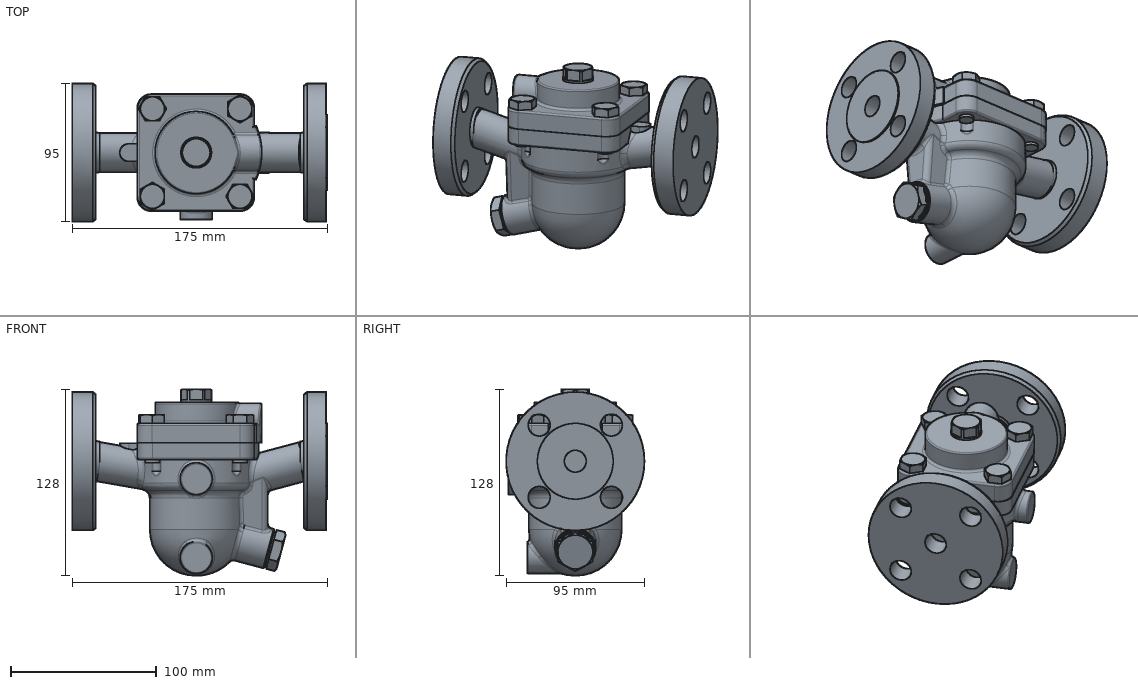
import cadquery as cq
import math


MARGIN = 1.0

FLANGE_DIA = 95.0
FLANGE_THICK = 16.3
FLANGE_CHAMFER_RADIAL = 1.8
FLANGE_CHAMFER_AXIAL = 2.3
BOLT_CIRCLE_DIA = 70.0
FLANGE_HOLE_DIA = 15.0
FLANGE_HOLE_COUNT = 4
BORE_DIA = 15.0
INLET_FACE_X = -85.0
OUTLET_FACE_X = 90.0
RAISED_FACE_DIA = 52.0
RAISED_FACE_HEIGHT = 1.0

PIPE_DIA = 27.0
PIPE_ROOT_DIA = 28.0
PIPE_ROOT_LENGTH = 2.5
INLET_SLOPE = 10.0
OUTLET_SLOPE = 15.0
INLET_BLEND = 5.0
OUTLET_BLEND = 4.0
PIPE_JOINT_DEPTH = 6.0

CHAMBER_R = 32.0
CHAMBER_BOTTOM_Z = -78.6
NECK_R = 39.0
SHOULDER_TOP_Z = -14.8
SHOULDER_BOTTOM_Z = -25.0

LOWER_PLATE_Z = 1.0
SPLIT_Z = 12.8
COVER_TOP_Z = 26.0
LOWER_PLATE_SIDE = 80.0
COVER_PLATE_SIDE = 80.4
PLATE_CENTRE_X = -0.3
PLATE_CORNER_R = 10.0
PLATE_EDGE_R = 1.3
LOWER_BULGE_R = 43.0
COVER_BULGE_R = 45.0
BULGE_HALF_WIDTH = 18.5
TURRET_DIA = 56.5
TURRET_TOP_Z = 40.5
TURRET_EDGE_R = 1.0
COVER_FILLET = 1.8
BARREL_R = 12.3
BARREL_TOP_Z = 39.8

BOLT_PITCH = 60.0
BOLT_FLATS = 16.5
BOLT_HEAD_HEIGHT = 6.0
BOLT_DIA = 10.0
BOLT_END_Z = -1.0
BOLT_HOLE_DIA = 10.8
BOLT_HOLE_SHOULDER_Z = -6.9
BOLT_HOLE_TIP_Z = -14.7
BOLT_HOLE_EDGE_R = 0.8
HEAD_CHAMFER_ANGLE = 30.0
HEX_HALF_STEP = 30.0

PLUG_FLATS = 19.0
PLUG_DIA = 21.0
PLUG_TOP_Z = 49.4
PLUG_HEX_Z = 42.0

BOSS_DIA = 22.0
BOSS_EDGE_R = 0.8
BOSS_BLEND = 2.4
UPPER_BOSS_Y = -46.0
UPPER_BOSS_Z = -12.0
LOWER_BOSS_Y = -33.0
LOWER_BOSS_Z = -66.0

NOZZLE_DIA = 28.0
NOZZLE_SLOPE = 15.0
NOZZLE_LENGTH = 52.0
NOZZLE_EDGE = 0.8
NOZZLE_BLEND = 4.0
DRAIN_PLUG_FLATS = 24.0
DRAIN_PLUG_HEIGHT = 7.0
DRAIN_PLUG_NECK = 1.3

RIB_TOP_Z = -10.0
RIB_BOTTOM_Z = -54.6
RIB_TOP_HALF_WIDTH = 13.2
RIB_BOTTOM_HALF_WIDTH = 9.0
RIB_INNER_X = 25.0
RIB_END_X = 49.2
RIB_CORNER_R = 4.1
RIB_BLEND = 3.0

LUG_R = 6.0
LUG_END_X = -52.4
LUG_TOP_Z = 12.5
LUG_BOTTOM_Z = -5.0

DOME_CENTRE_Z = CHAMBER_BOTTOM_Z + CHAMBER_R
INLET_BACK_X = INLET_FACE_X + FLANGE_THICK
OUTLET_BACK_X = OUTLET_FACE_X - FLANGE_THICK
OUTLET_RIM_X = OUTLET_FACE_X - RAISED_FACE_HEIGHT


def edges_within(body, low, high):
    """Edges of body that lie wholly inside the box between two opposite corners."""
    return body.edges(cq.selectors.BoxSelector(low, high, boundingbox=True))


def flange(face_x, inward, thick):
    """Flange whose rim starts at face_x and whose chamfered back faces `inward` along X."""
    radius = FLANGE_DIA / 2
    disc = (
        cq.Workplane("XY")
        .lineTo(0, radius)
        .lineTo(thick - FLANGE_CHAMFER_AXIAL, radius)
        .lineTo(thick, radius - FLANGE_CHAMFER_RADIAL)
        .lineTo(thick, 0)
        .close()
        .revolve(360, (0, 0, 0), (1, 0, 0))
    )
    half_step = 180 / FLANGE_HOLE_COUNT
    holes = (
        cq.Workplane("YZ")
        .polarArray(BOLT_CIRCLE_DIA / 2, half_step, 360, FLANGE_HOLE_COUNT)
        .circle(FLANGE_HOLE_DIA / 2)
        .extrude(thick)
    )
    disc = disc.cut(holes)
    if inward < 0:
        disc = disc.mirror("YZ")
    return disc.translate((face_x, 0, 0))


def raised_face():
    return (
        cq.Workplane("YZ", origin=(OUTLET_RIM_X, 0, 0))
        .circle(RAISED_FACE_DIA / 2)
        .extrude(RAISED_FACE_HEIGHT)
    )


def bore(face_x, depth):
    return cq.Workplane("YZ", origin=(face_x, 0, 0)).circle(BORE_DIA / 2).extrude(depth)


def pipe(back_x, slope):
    """Pipe falling from the flange back at back_x towards the chamber axis."""
    towards_axis = -math.copysign(1, back_x)
    angle = math.radians(slope)
    direction = (towards_axis * math.cos(angle), 0, -math.sin(angle))
    length = abs(back_x) / math.cos(angle)
    plane = cq.Plane(origin=(back_x, 0, 0), xDir=(0, 1, 0), normal=direction)
    return cq.Workplane(plane).circle(PIPE_DIA / 2).extrude(length)


def pipe_root(back_x):
    """Short tapered collar where a pipe leaves its flange."""
    towards_axis = -math.copysign(1, back_x)
    return (
        cq.Workplane("YZ", origin=(back_x, 0, 0))
        .circle(PIPE_ROOT_DIA / 2)
        .workplane(offset=towards_axis * PIPE_ROOT_LENGTH)
        .circle(PIPE_DIA / 2)
        .loft()
    )


def chamber():
    middle_r = (NECK_R + CHAMBER_R) / 2
    middle_z = (SHOULDER_TOP_Z + SHOULDER_BOTTOM_Z) / 2
    diagonal = CHAMBER_R * math.sqrt(0.5)
    return (
        cq.Workplane("XZ")
        .moveTo(0, SPLIT_Z)
        .lineTo(NECK_R, SPLIT_Z)
        .lineTo(NECK_R, SHOULDER_TOP_Z)
        .tangentArcPoint((middle_r, middle_z), relative=False)
        .tangentArcPoint((CHAMBER_R, SHOULDER_BOTTOM_Z), relative=False)
        .lineTo(CHAMBER_R, DOME_CENTRE_Z)
        .threePointArc((diagonal, DOME_CENTRE_Z - diagonal), (0, CHAMBER_BOTTOM_Z))
        .close()
        .revolve(360, (0, 0, 0), (0, 1, 0))
    )


def nozzle_plane():
    """Plane on the dome centre whose normal runs down the drain nozzle."""
    angle = math.radians(NOZZLE_SLOPE)
    return cq.Plane(
        origin=(0, 0, DOME_CENTRE_Z),
        xDir=(math.sin(angle), 0, math.cos(angle)),
        normal=(math.cos(angle), 0, -math.sin(angle)),
    )


def nozzle():
    return (
        cq.Workplane(nozzle_plane())
        .circle(NOZZLE_DIA / 2)
        .extrude(NOZZLE_LENGTH)
        .faces(">X")
        .chamfer(NOZZLE_EDGE)
    )


def hex_head(flats, height, corner_dia=None):
    """Hexagon head on Z with corners on +X and -X, bevelled at the top."""
    across_corners = flats / math.cos(math.radians(HEX_HALF_STEP))
    head = cq.Workplane("XY").polygon(6, across_corners).extrude(height)
    flat_r = flats / 2
    reach = across_corners / 2
    drop = (reach - flat_r) * math.tan(math.radians(HEAD_CHAMFER_ANGLE))
    envelope = (
        cq.Workplane("XZ")
        .lineTo(reach, 0)
        .lineTo(reach, height - drop)
        .lineTo(flat_r, height)
        .lineTo(0, height)
        .close()
        .revolve(360, (0, 0, 0), (0, 1, 0))
    )
    head = head.intersect(envelope)
    if corner_dia:
        head = head.intersect(cq.Workplane("XY").circle(corner_dia / 2).extrude(height))
    return head


def drain_plug():
    neck = cq.Workplane("XY").circle(DRAIN_PLUG_FLATS / 2).extrude(DRAIN_PLUG_NECK)
    head = hex_head(DRAIN_PLUG_FLATS, DRAIN_PLUG_HEIGHT).translate((0, 0, DRAIN_PLUG_NECK))
    plug = neck.union(head).translate((0, 0, NOZZLE_LENGTH))
    return cq.Workplane(obj=plug.val().moved(cq.Location(nozzle_plane())))


def rib():
    """Drafted rib, narrowing downwards, with a rounded outer end."""
    return (
        cq.Workplane("YZ")
        .moveTo(-RIB_TOP_HALF_WIDTH, RIB_TOP_Z)
        .lineTo(RIB_TOP_HALF_WIDTH, RIB_TOP_Z)
        .lineTo(RIB_BOTTOM_HALF_WIDTH, RIB_BOTTOM_Z)
        .lineTo(-RIB_BOTTOM_HALF_WIDTH, RIB_BOTTOM_Z)
        .close()
        .extrude(RIB_END_X)
        .faces(">X")
        .edges("not #Z")
        .fillet(RIB_CORNER_R)
    )


def front_boss(face_y, z):
    return (
        cq.Workplane("XZ", origin=(0, 0, z))
        .circle(BOSS_DIA / 2)
        .extrude(-face_y)
        .faces("<Y")
        .edges()
        .fillet(BOSS_EDGE_R)
    )


def plate(side, bottom_z, top_z, bulge_r):
    """Square joint plate with rounded corners and a bulge towards the outlet."""
    height = top_z - bottom_z
    base = cq.Workplane("XY", origin=(0, 0, bottom_z))
    square = (
        base.center(PLATE_CENTRE_X, 0)
        .rect(side, side)
        .extrude(height)
        .edges("|Z")
        .fillet(PLATE_CORNER_R)
    )
    strip = base.center(bulge_r / 2, 0).rect(bulge_r, 2 * BULGE_HALF_WIDTH).extrude(height)
    bulge = base.circle(bulge_r).extrude(height).intersect(strip)
    return square.union(bulge)


def lower_plate():
    slab = plate(LOWER_PLATE_SIDE, LOWER_PLATE_Z, SPLIT_Z, LOWER_BULGE_R)
    return slab.faces("<Z").edges().fillet(PLATE_EDGE_R)


def cover():
    """Cover plate carrying a round turret and a barrel that runs from it to the outlet bulge."""
    oversize = 2 * COVER_PLATE_SIDE
    slab = (
        cq.Workplane("XY", origin=(0, 0, SPLIT_Z))
        .rect(oversize, oversize)
        .extrude(COVER_TOP_Z - SPLIT_Z)
    )
    turret = (
        cq.Workplane("XY", origin=(0, 0, SPLIT_Z))
        .circle(TURRET_DIA / 2)
        .extrude(COVER_PLATE_SIDE / 2)
    )
    barrel_height = BARREL_TOP_Z - BARREL_R - SPLIT_Z
    barrel = (
        cq.Workplane("YZ", origin=(0, 0, SPLIT_Z))
        .moveTo(-BARREL_R, 0)
        .lineTo(BARREL_R, 0)
        .lineTo(BARREL_R, barrel_height)
        .threePointArc((0, barrel_height + BARREL_R), (-BARREL_R, barrel_height))
        .close()
        .extrude(oversize / 2)
    )
    body = slab.union(turret).union(barrel)
    reach = TURRET_DIA / 2 + MARGIN
    near_turret = edges_within(
        body,
        (-reach, -reach, COVER_TOP_Z - MARGIN),
        (oversize, reach, BARREL_TOP_Z + MARGIN),
    )
    touching = near_turret.filter(lambda edge: edge.BoundingBox().xmin < reach)
    joints = touching.filter(
        lambda edge: edge.BoundingBox().zmin < COVER_TOP_Z + MARGIN or edge.BoundingBox().xmax < reach
    )
    body = joints.fillet(COVER_FILLET)

    body = body.intersect(plate(COVER_PLATE_SIDE, SPLIT_Z, TURRET_TOP_Z, COVER_BULGE_R))
    rim_r = (TURRET_DIA + COVER_PLATE_SIDE) / 4
    axis_point = cq.Vertex.makeVertex(0, 0, COVER_TOP_Z)
    above_slab = edges_within(
        body,
        (-oversize, -oversize, COVER_TOP_Z - MARGIN),
        (oversize, oversize, TURRET_TOP_Z + MARGIN),
    )
    rim = above_slab.filter(lambda edge: edge.distance(axis_point) > rim_r)
    body = rim.fillet(PLATE_EDGE_R)
    return body.faces(">Z").edges().fillet(TURRET_EDGE_R)


def bolt_places():
    half = BOLT_PITCH / 2
    return [(x, y) for x in (-half, half) for y in (-half, half)]


def cover_bolt(turn):
    head = hex_head(BOLT_FLATS, BOLT_HEAD_HEIGHT).rotate((0, 0, 0), (0, 0, 1), turn)
    shank = (
        cq.Workplane("XY", origin=(0, 0, BOLT_END_Z))
        .circle(BOLT_DIA / 2)
        .extrude(COVER_TOP_Z - BOLT_END_Z)
    )
    return shank.union(head.translate((0, 0, COVER_TOP_Z)))


def bolt_hole():
    radius = BOLT_HOLE_DIA / 2
    return (
        cq.Workplane("XZ")
        .moveTo(0, LOWER_PLATE_Z)
        .lineTo(radius, LOWER_PLATE_Z)
        .lineTo(radius, BOLT_HOLE_SHOULDER_Z)
        .lineTo(0, BOLT_HOLE_TIP_Z)
        .close()
        .revolve(360, (0, 0, 0), (0, 1, 0))
    )


def cut_bolt_hole(body, x, y):
    """Cut the bolt hole that breaks out through the side of the neck and round its rim."""
    body = body.cut(bolt_hole().translate((x, y, 0)))
    reach = BOLT_HOLE_DIA
    near_hole = edges_within(
        body,
        (x - reach, y - reach, BOLT_HOLE_TIP_Z),
        (x + reach, y + reach, LOWER_PLATE_Z + MARGIN),
    )
    rim = near_hole.filter(lambda edge: edge.geomType() != "CIRCLE")
    return rim.fillet(BOLT_HOLE_EDGE_R)


def top_plug():
    base = (
        cq.Workplane("XY", origin=(0, 0, COVER_TOP_Z))
        .circle(PLUG_DIA / 2)
        .extrude(PLUG_HEX_Z - COVER_TOP_Z)
    )
    head = hex_head(PLUG_FLATS, PLUG_TOP_Z - PLUG_HEX_Z, PLUG_DIA)
    return base.union(head.translate((0, 0, PLUG_HEX_Z)))


def lug():
    """Flat-topped lug with a round end, standing on the inlet pipe."""
    centre_x = LUG_END_X + LUG_R
    base = cq.Workplane("XY", origin=(0, 0, LUG_BOTTOM_Z))
    height = LUG_TOP_Z - LUG_BOTTOM_Z
    end = base.center(centre_x, 0).circle(LUG_R).extrude(height)
    web = base.center(centre_x / 2, 0).rect(-centre_x, 2 * LUG_R).extrude(height)
    return end.union(web)


def piped_chamber():
    """Chamber with both sloping pipes blended into its neck."""
    body = chamber().union(pipe(INLET_BACK_X, INLET_SLOPE)).union(pipe(OUTLET_BACK_X, OUTLET_SLOPE))
    reach_y = PIPE_DIA / 2 + MARGIN
    inner_x = math.sqrt(NECK_R**2 - reach_y**2) - PIPE_JOINT_DEPTH
    outer_x = NECK_R + MARGIN
    low_z = SHOULDER_BOTTOM_Z - MARGIN
    high_z = SPLIT_Z - MARGIN / 2
    inlet_joint = edges_within(body, (-outer_x, -reach_y, low_z), (-inner_x, reach_y, high_z))
    body = inlet_joint.fillet(INLET_BLEND)
    outlet_joint = edges_within(body, (inner_x, -reach_y, low_z), (outer_x, reach_y, high_z))
    return outlet_joint.fillet(OUTLET_BLEND)


def add_front_boss(body, face_y, z, joint_front_y, joint_back_y):
    """Add a front boss and blend its joint, which lies between the two Y limits."""
    body = body.union(front_boss(face_y, z))
    reach = BOSS_DIA / 2 + MARGIN
    joint = edges_within(body, (-reach, joint_front_y, z - reach), (reach, joint_back_y, z + reach))
    return joint.fillet(BOSS_BLEND)


def add_nozzle(body):
    body = body.union(nozzle())
    reach_y = NOZZLE_DIA / 2 + MARGIN
    joint = edges_within(
        body,
        (CHAMBER_R / 2, -reach_y, CHAMBER_BOTTOM_Z),
        (CHAMBER_R + MARGIN, reach_y, SHOULDER_BOTTOM_Z - MARGIN),
    )
    return joint.fillet(NOZZLE_BLEND)


def add_rib(body):
    body = body.union(rib())
    reach_y = NOZZLE_DIA / 2 + MARGIN
    joint = edges_within(
        body,
        (RIB_INNER_X, -reach_y, RIB_BOTTOM_Z - MARGIN),
        (RIB_END_X + MARGIN, reach_y, RIB_TOP_Z + MARGIN),
    )
    return joint.fillet(RIB_BLEND)


def casting():
    """Chamber with its pipes, front bosses, drain nozzle, rib and lug."""
    neck_front_y = -NECK_R - MARGIN
    boss_side_y = -math.sqrt(CHAMBER_R**2 - (BOSS_DIA / 2) ** 2)
    dome_front_y = LOWER_BOSS_Y + BOSS_EDGE_R + MARGIN / 10
    body = piped_chamber()
    body = add_front_boss(body, UPPER_BOSS_Y, UPPER_BOSS_Z, neck_front_y, boss_side_y + MARGIN)
    body = add_front_boss(body, LOWER_BOSS_Y, LOWER_BOSS_Z, dome_front_y, 0)
    body = add_nozzle(body)
    body = add_rib(body)
    return body.union(lug())


result = casting()
for place_x, place_y in bolt_places():
    result = cut_bolt_hole(result, place_x, place_y)

result = result.union(lower_plate()).union(cover()).union(top_plug()).union(drain_plug())
for place_x, place_y in bolt_places():
    head_turn = HEX_HALF_STEP if place_x * place_y > 0 else 0
    result = result.union(cover_bolt(head_turn).translate((place_x, place_y, 0)))

result = result.union(flange(INLET_FACE_X, 1, FLANGE_THICK))
result = result.union(flange(OUTLET_RIM_X, -1, FLANGE_THICK - RAISED_FACE_HEIGHT)).union(raised_face())
result = result.union(pipe_root(INLET_BACK_X)).union(pipe_root(OUTLET_BACK_X))
result = result.cut(bore(INLET_FACE_X, FLANGE_THICK)).cut(bore(OUTLET_FACE_X, -FLANGE_THICK))